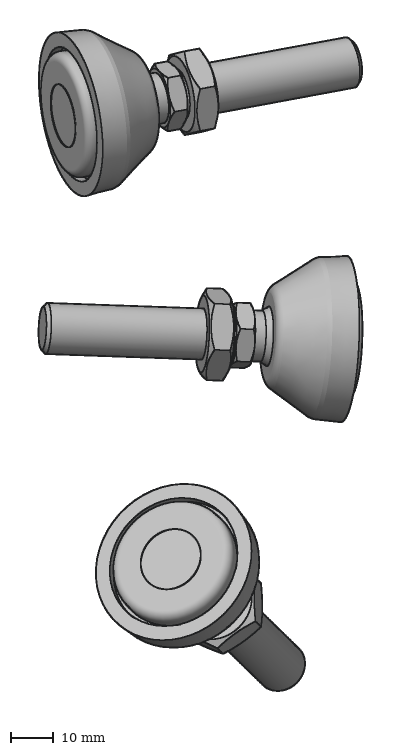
import cadquery as cq
import math

sole_radius = 14.95
sole_fillet = 2.0
rim_y = 2.0
rim_diameter = 39.0
rim_radius = rim_diameter / 2
groove_radius = 16.0
groove_depth = 2.5
recess_radius = 7.5
recess_depth = 0.2
skirt_top_y = 8.3
skirt_top_radius = 19.0
cone_base_y = 9.35
cone_base_radius = 18.65
cone_top_y = 18.7
cone_top_radius = 12.4
foot_top_y = 20.05
foot_top_radius = 10.3

overall_length = 73.7
shaft_diameter = 12.0
shaft_radius = shaft_diameter / 2
end_chamfer = 0.95
collar_radius = 7.0
collar_top_y = 21.6
undercut_radius = 5.6
spindle_hex_y = 24.3
spindle_hex_height = 4.4
spindle_hex_flats = 14.0
spindle_hex_turn = 0.0

nut_y = 29.7
nut_height = 6.0
nut_flats = 19.0
nut_face_diameter = 18.05
nut_turn = 30.0

hex_chamfer_angle = 30.0
CORNER_RATIO = 2 / math.sqrt(3)


def revolve_about_y(profile):
    """Turn a closed half profile, drawn as (radius, y), about the Y axis."""
    return profile.close().revolve(360, (0, 0, 0), (0, 1, 0))


def cylinder(radius, start_y, end_y):
    half_section = cq.Workplane("XY").moveTo(0, start_y).lineTo(radius, start_y)
    return revolve_about_y(half_section.lineTo(radius, end_y).lineTo(0, end_y))


def chamfered_hexagon(start_y, height, across_flats, face_diameter, turn):
    """Hexagonal prism with its corners turned down by cones at both ends."""
    end_y = start_y + height
    corner_radius = across_flats * CORNER_RATIO / 2
    face_radius = face_diameter / 2
    drop = (corner_radius - face_radius) * math.tan(math.radians(hex_chamfer_angle))
    prism = (
        cq.Workplane("XZ", origin=(0, start_y, 0))
        .polygon(6, 2 * corner_radius)
        .extrude(-height)
        .rotate((0, 0, 0), (0, 1, 0), turn)
    )
    envelope = revolve_about_y(
        cq.Workplane("XY")
        .moveTo(0, start_y)
        .lineTo(face_radius, start_y)
        .lineTo(corner_radius, start_y + drop)
        .lineTo(corner_radius, end_y - drop)
        .lineTo(face_radius, end_y)
        .lineTo(0, end_y)
    )
    return prism.intersect(envelope)


def make_foot():
    groove_floor_y = rim_y + groove_depth
    fillet_offset = sole_fillet * (1 - math.sqrt(0.5))
    return revolve_about_y(
        cq.Workplane("XY")
        .moveTo(0, recess_depth)
        .lineTo(recess_radius, recess_depth)
        .lineTo(recess_radius, 0)
        .lineTo(sole_radius - sole_fillet, 0)
        .threePointArc((sole_radius - fillet_offset, fillet_offset), (sole_radius, sole_fillet))
        .lineTo(sole_radius, groove_floor_y)
        .lineTo(groove_radius, groove_floor_y)
        .lineTo(groove_radius, rim_y)
        .lineTo(rim_radius, rim_y)
        .lineTo(skirt_top_radius, skirt_top_y)
        .lineTo(cone_base_radius, cone_base_y)
        .lineTo(cone_top_radius, cone_top_y)
        .tangentArcPoint((foot_top_radius, foot_top_y), relative=False)
        .lineTo(0, foot_top_y)
    )


def make_spindle():
    hex_top_y = spindle_hex_y + spindle_hex_height
    undercut_y = (hex_top_y + nut_y) / 2
    turned = revolve_about_y(
        cq.Workplane("XY")
        .moveTo(0, foot_top_y)
        .lineTo(collar_radius, foot_top_y)
        .lineTo(shaft_radius, collar_top_y)
        .lineTo(shaft_radius, hex_top_y)
        .lineTo(undercut_radius, undercut_y)
        .lineTo(shaft_radius, nut_y)
        .lineTo(shaft_radius, overall_length - end_chamfer)
        .lineTo(shaft_radius - end_chamfer, overall_length)
        .lineTo(0, overall_length)
    )
    wrench_hex = chamfered_hexagon(
        spindle_hex_y, spindle_hex_height, spindle_hex_flats, spindle_hex_flats, spindle_hex_turn
    )
    return turned.union(wrench_hex)


def make_nut():
    blank = chamfered_hexagon(nut_y, nut_height, nut_flats, nut_face_diameter, nut_turn)
    return blank.cut(cylinder(shaft_radius, nut_y, nut_y + nut_height))


foot = make_foot()
spindle = make_spindle()
nut = make_nut()

result = cq.Compound.makeCompound([foot.val(), spindle.val(), nut.val()])